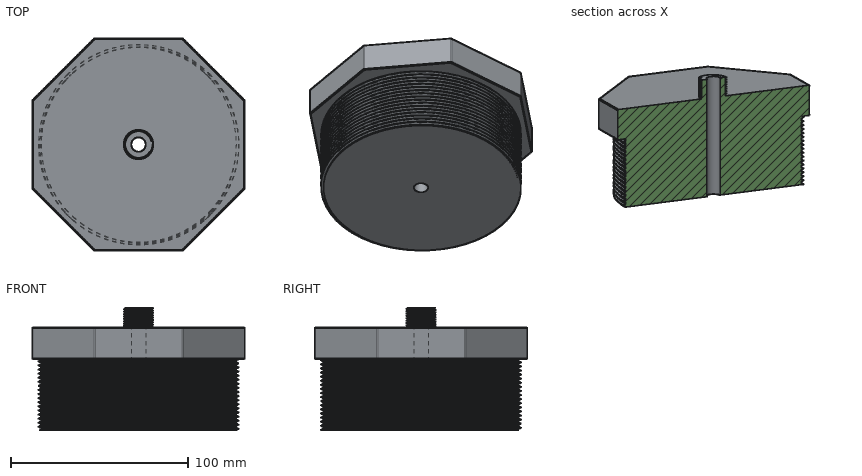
import cadquery as cq
import math

PLUG_LENGTH = 40.0
HEAD_HEIGHT = 18.0
STUD_LENGTH = 11.0
HEAD_TOP = PLUG_LENGTH + HEAD_HEIGHT

HEAD_ACROSS_FLATS = 120.0
HEAD_SIDES = 8
HEAD_CORNER_RADIUS = 1.0
HEAD_EDGE_CHAMFER = 0.5

THREAD_ANGLE = 55.0
RIDGE_OVERLAP = 0.1

PLUG_MAJOR_DIAMETER = 113.03
PLUG_MINOR_DIAMETER = 110.07
PLUG_PITCH = 2.309
PLUG_FIRST_CREST = 0.77

STUD_MAJOR_DIAMETER = 16.66
STUD_MINOR_DIAMETER = 14.95
STUD_PITCH = 1.337
STUD_FIRST_CREST = 0.13

BORE_DIAMETER = 8.0


def make_cylinder(diameter, base_z, height):
    return cq.Workplane("XY").workplane(offset=base_z).circle(diameter / 2).extrude(height)


def make_head():
    """Octagonal prism with flats square to X and Y, rounded corners and chamfered rims."""
    return (
        cq.Workplane("XY")
        .workplane(offset=PLUG_LENGTH)
        .polygon(HEAD_SIDES, HEAD_ACROSS_FLATS, circumscribed=True)
        .extrude(HEAD_HEIGHT)
        .edges("|Z")
        .fillet(HEAD_CORNER_RADIUS)
        .faces("<Z or >Z")
        .chamfer(HEAD_EDGE_CHAMFER)
    )


def make_threaded_cylinder(base_z, length, minor_diameter, major_diameter, pitch, first_crest):
    """Core on the Z axis with a right-handed V ridge that runs out through both end faces."""
    crest_radius = major_diameter / 2
    inner_radius = minor_diameter / 2 - RIDGE_OVERLAP
    half_base = (crest_radius - inner_radius) * math.tan(math.radians(THREAD_ANGLE / 2))

    run_out = 2 * pitch
    helix = cq.Wire.makeHelix(pitch, length + 2 * run_out, crest_radius)
    ridge = (
        cq.Workplane("XZ")
        .moveTo(inner_radius, -half_base)
        .lineTo(crest_radius, 0)
        .lineTo(inner_radius, half_base)
        .close()
        .sweep(cq.Workplane(helix), isFrenet=True)
        .translate((0, 0, base_z + first_crest - run_out))
    )
    trimmed_ridge = ridge.intersect(make_cylinder(2 * major_diameter, base_z, length))
    return make_cylinder(minor_diameter, base_z, length).union(trimmed_ridge)


plug = make_threaded_cylinder(
    0, PLUG_LENGTH, PLUG_MINOR_DIAMETER, PLUG_MAJOR_DIAMETER, PLUG_PITCH, PLUG_FIRST_CREST
)
stud = make_threaded_cylinder(
    HEAD_TOP, STUD_LENGTH, STUD_MINOR_DIAMETER, STUD_MAJOR_DIAMETER, STUD_PITCH, STUD_FIRST_CREST
)
bore = make_cylinder(BORE_DIAMETER, 0, HEAD_TOP + STUD_LENGTH)

result = make_head().union(plug).union(stud).cut(bore)